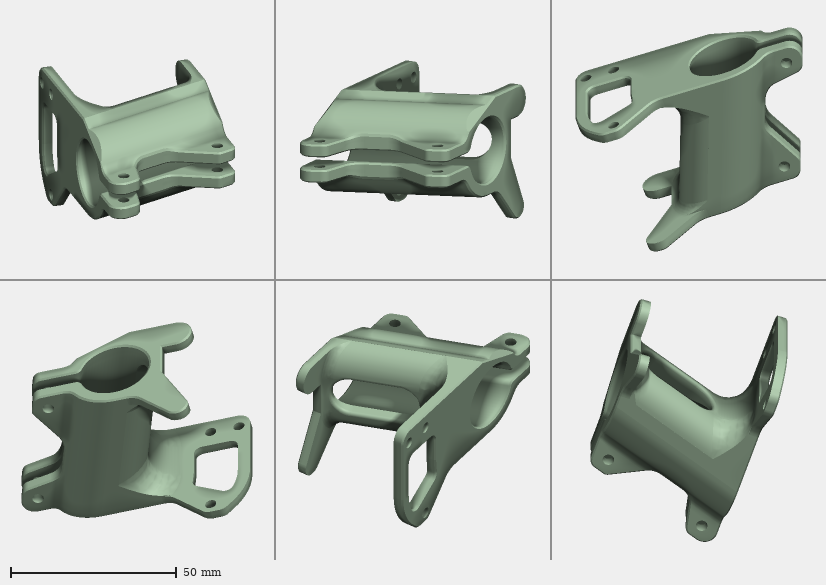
import cadquery as cq
import math


length = 71.3
depth = 44.5
top_z = 16.1
bottom_z = -25.7

tilt = math.radians(20)
bore_radius = 10.2
tube_radius = 14.25
tube_left = -12.6
tube_corner = 9.0
roof_start = -4.2
roof_angle = math.radians(25)
roof_end = 7.1
roof_chamfer_end = 12.75
roof_chamfer_height = 3.6
back_shift = depth * math.tan(tilt)
front_blend = 8.0
back_blend = 3.0

window_along = 33.1
window_spacing = 15.05
window_half_height = 6.3
window_blend = 1.1

slit_half = 2.0
lug_top = 6.0
lug_end = 23.9
lug_blend = 4.0
slit_blend = 2.0
waist = 12.9
waist_blend = 6.0
lug_tip_radius = 3.0
lug_front_radius = 4.0
lug_knee_radius = 2.0
screw_across = 19.0
front_screw_along = -1.2
back_screw_along = 34.9
front_lug_y = 9.5
front_waist_y = 11.9
back_waist_y = 24.6
back_lug_y = 38.4

plate = 3.2
chamfer = 0.5
hole_diameter = 3.5
lug_corner_x = (lug_end - lug_front_radius * (1 + math.sin(tilt))) / math.cos(tilt)
right_x = lug_corner_x + lug_front_radius
left_x = right_x - length
plate_corner = 4.0
left_bend = 19.95
left_bend_z = -17.3
left_bend_turn = math.radians(45)
foot_left_x = left_x + left_bend_z - bottom_z
foot_radius = 3.5
notch_x = -22.3
foot_right_x = notch_x + bottom_z + tube_radius
notch_blend = 6.0
hole_x = -35.2
corner_hole_x = -44.05
upper_hole_z = 11.1
lower_hole_z = bottom_z + foot_radius
finger_radius = top_z - upper_hole_z
back_edge_x = -30.95
leg_top_z = -5.35
leg_angle = math.radians(27)
front_plate_end = -7.1
back_plate_end = -21.4
back_plate_low_end = -17.1

pocket_left = -43.7
pocket_right = -30.0
pocket_top = 5.1
pocket_corner = 2.5
pocket_knee_z = -11.7
pocket_knee_shift = 0.6
pocket_lean = math.radians(25)
pocket_slant = math.radians(30)

reach = 142.6
lug_overrun = 2 * lug_end
smallest_edge = 0.001


def tilted_point(across, along):
    """X and Y of a point given square to and along the tube axis."""
    return (
        across * math.cos(tilt) - along * math.sin(tilt),
        across * math.sin(tilt) + along * math.cos(tilt),
    )


def rounded_outline(plane, corners):
    """Closed outline through (x, y, radius) corners, each rounded by a tangent arc."""
    stops = []
    for i, (x, y, radius) in enumerate(corners):
        corner = cq.Vector(x, y)
        before = (cq.Vector(*corners[i - 1][:2]) - corner).normalized()
        after = (cq.Vector(*corners[(i + 1) % len(corners)][:2]) - corner).normalized()
        half_angle = before.getAngle(after) / 2
        setback = radius / math.tan(half_angle)
        to_middle = radius / math.sin(half_angle) - radius
        middle = corner + (before + after).normalized() * to_middle
        stops.append((corner + before * setback, middle, corner + after * setback, radius))
    last = stops[0][2]
    outline = plane.moveTo(last.x, last.y)
    for start, middle, end, radius in stops[1:] + stops[:1]:
        if (start - last).Length > smallest_edge:
            outline = outline.lineTo(start.x, start.y)
        last = end
        if radius > 0:
            outline = outline.threePointArc((middle.x, middle.y), (end.x, end.y))
    return outline.close()


def box(x_range, y_range, z_range):
    size = [b - a for a, b in (x_range, y_range, z_range)]
    corner = (x_range[0], y_range[0], z_range[0])
    return cq.Workplane("XY").box(*size, centered=False).translate(corner)


def section_plane():
    """Plane square to the tube axis: local x is across, local y is Z."""
    across = (math.cos(tilt), math.sin(tilt), 0)
    toward_front = (math.sin(tilt), -math.cos(tilt), 0)
    return cq.Workplane(cq.Plane((0, 0, 0), xDir=across, normal=toward_front))


def side_of_roof_start(side):
    """Everything left (side = -1) or right (side = 1) of the place where the roof starts to fall."""
    block = section_plane().rect(reach, reach).extrude(reach, both=True)
    return block.translate((*tilted_point(roof_start + side * reach / 2, 0), 0))


def blend_middle(centre, radius):
    """Middle of a blend arc that runs from a tangent circle around the origin to a level line below."""
    toward_origin = math.atan2(centre[1], centre[0]) - math.pi
    downward = -math.pi / 2
    angle = (toward_origin + downward) / 2
    return centre[0] + radius * math.cos(angle), centre[1] + radius * math.sin(angle)


between_ends = box((-reach, reach), (0, depth), (-reach, reach))


def blended_wall():
    """Rounded left side of the tube, blended into both plates and cut flush above and below."""
    tube = (
        rounded_outline(
            section_plane(),
            [
                (tube_left, top_z, tube_corner),
                (reach / 2, top_z, tube_corner),
                (reach / 2, -tube_radius, tube_corner),
                (tube_left, -tube_radius, tube_corner),
            ],
        )
        .extrude(reach, both=True)
        .intersect(between_ends)
    )
    front_slab = box((-reach, reach), (0, plate), (-reach, reach))
    back_slab = front_slab.translate((0, depth - plate, 0))
    wall = tube.union(front_slab).union(back_slab)
    for y, radius in ((plate, front_blend), (depth - plate, back_blend)):
        at_plate = cq.selectors.BoxSelector(
            (-reach / 2, y - smallest_edge, -tube_radius - chamfer),
            (reach, y + smallest_edge, top_z + chamfer),
        )
        wall = wall.edges(at_plate).fillet(radius)
    limits = box((back_edge_x, reach), (0, depth), (-tube_radius, top_z))
    return wall.intersect(limits).intersect(side_of_roof_start(-1))


def clamp_tube():
    """Round clamp side with the sloped roof that joins it to the flat top."""
    roof_low = top_z - (roof_end - roof_start) * math.tan(roof_angle)
    roof = [
        (roof_start, top_z),
        (roof_end, roof_low),
        (roof_end, 0),
        (0, -tube_radius),
        (roof_start, -tube_radius),
    ]
    barrel = section_plane().circle(tube_radius).extrude(reach, both=True)
    bridge = section_plane().polyline(roof).close().extrude(reach, both=True)
    return barrel.intersect(side_of_roof_start(1)).union(bridge).intersect(between_ends)


def lugs():
    """Both lugs as one block, blended into the outside of the tube. The slit is cut later."""
    blend_z = lug_top + lug_blend
    blend_across = math.sqrt((tube_radius + lug_blend) ** 2 - blend_z**2)
    on_tube = tube_radius / (tube_radius + lug_blend)
    start = (blend_across * on_tube, blend_z * on_tube)
    middle = blend_middle((blend_across, blend_z), lug_blend)
    return (
        section_plane()
        .moveTo(*start)
        .threePointArc(middle, (blend_across, lug_top))
        .lineTo(lug_overrun, lug_top)
        .lineTo(lug_overrun, -lug_top)
        .lineTo(blend_across, -lug_top)
        .threePointArc((middle[0], -middle[1]), (start[0], -start[1]))
        .close()
        .extrude(reach, both=True)
        .intersect(between_ends)
    )


def bore_outline(plane, growth):
    """Bore and slit with rounded lips between them, all offset outward by growth."""
    radius = bore_radius + growth
    half = slit_half + growth
    blend = slit_blend - growth
    lip_z = slit_half + slit_blend
    lip_across = math.sqrt((bore_radius + slit_blend) ** 2 - lip_z**2)
    on_bore = radius / (bore_radius + slit_blend)
    tangent = (lip_across * on_bore, lip_z * on_bore)
    middle = blend_middle((lip_across, lip_z), blend)
    return (
        plane.moveTo(*tangent)
        .threePointArc((-radius, 0), (tangent[0], -tangent[1]))
        .threePointArc((middle[0], -middle[1]), (lip_across, -half))
        .lineTo(lug_overrun, -half)
        .lineTo(lug_overrun, half)
        .lineTo(lip_across, half)
        .threePointArc(middle, tangent)
        .close()
    )


def bore_and_slit():
    return bore_outline(section_plane(), 0).extrude(reach, both=True)


def bore_mouths():
    """Chamfer of the bore and slit at both ends: a straight flare, sheared to follow the tube."""

    def flare(y, direction):
        wide = bore_outline(cq.Workplane("XZ", origin=(0, y, 0)), chamfer)
        narrow_plane = wide.workplane(offset=-direction * chamfer)
        return bore_outline(narrow_plane, 0).loft(ruled=True)

    sheared = cq.Matrix(
        [
            [1 / math.cos(tilt), -math.tan(tilt), 0, 0],
            [0, 1, 0, 0],
            [0, 0, 1, 0],
        ]
    )
    flares = [flare(0, 1), flare(depth, -1)]
    return [cq.Workplane(shape.val().transformGeometry(sheared)) for shape in flares]


def front_plate():
    """Front plate, before its pocket and holes are cut."""
    return rounded_outline(
        cq.Workplane("XZ"),
        [
            (left_x, top_z, plate_corner),
            (front_plate_end, top_z, 0),
            (front_plate_end, -tube_radius, 0),
            (notch_x, -tube_radius, notch_blend),
            (foot_right_x, bottom_z, foot_radius),
            (foot_left_x, bottom_z, foot_radius),
            (left_x, left_bend_z, left_bend),
        ],
    ).extrude(-plate)


def back_plate():
    """Back plate with a round finger at the top and a tapered leg below."""
    finger_low = top_z - 2 * finger_radius
    foot_x = back_edge_x - (leg_top_z - bottom_z) * math.tan(leg_angle)
    return rounded_outline(
        cq.Workplane("XZ", origin=(0, depth, 0)),
        [
            (hole_x - finger_radius, top_z, finger_radius),
            (back_plate_end, top_z, 0),
            (back_plate_low_end, -tube_radius, 0),
            (notch_x, -tube_radius, notch_blend),
            (foot_right_x, bottom_z, foot_radius),
            (foot_x, bottom_z, foot_radius),
            (back_edge_x, leg_top_z, 0),
            (back_edge_x, finger_low, 0),
            (hole_x - finger_radius, finger_low, finger_radius),
        ],
    ).extrude(plate)


def lug_limits(start_z):
    """Plan outline that trims the lugs and the waist between them."""

    def at_y(across, y):
        return ((across - y * math.sin(tilt)) / math.cos(tilt), y)

    return rounded_outline(
        cq.Workplane("XY", origin=(0, 0, start_z)),
        [
            (-reach, 0, 0),
            (*at_y(lug_end, 0), lug_front_radius),
            (*at_y(lug_end, front_lug_y), lug_tip_radius),
            (*at_y(waist, front_waist_y), waist_blend),
            (*at_y(waist, back_waist_y), waist_blend),
            (*at_y(lug_end, back_lug_y), lug_knee_radius),
            (*at_y(lug_end, depth), lug_tip_radius),
            (-reach, depth, 0),
        ],
    ).extrude(reach)


def roof_chamfers():
    """Wedges that chamfer the roof line at both ends, straight through the tube that bulges past it."""
    start_x = roof_start / math.cos(tilt)
    fall = math.atan(math.tan(roof_angle) * math.cos(tilt))
    roof_length = (roof_chamfer_end - start_x) / math.cos(fall)
    plane = cq.Plane(
        (start_x, 0, top_z),
        xDir=(math.sin(fall), 0, math.cos(fall)),
        normal=(math.cos(fall), 0, -math.sin(fall)),
    )
    wedge = [
        (-chamfer, 0),
        (roof_chamfer_height, 0),
        (roof_chamfer_height, -roof_chamfer_height - chamfer),
    ]
    front = cq.Workplane(plane).polyline(wedge).close().extrude(roof_length)
    back = front.mirror("XZ").translate((-back_shift, depth, 0))
    return front.union(back)


def pocket():
    """Five-sided opening that follows the left edge of the front plate."""
    slant = math.tan(pocket_slant)
    knee_x = pocket_right + pocket_knee_shift
    rim = pocket_left - left_x
    bend_radius = left_bend - rim
    bend_start_z = left_bend_z + left_bend * math.tan(left_bend_turn / 2)
    bend_z = bend_start_z - bend_radius * math.tan(pocket_lean / 2)
    lean = math.tan(pocket_lean)
    drop = bend_z - pocket_knee_z + slant * (knee_x - pocket_left)
    tip_x = pocket_left + lean * drop / (1 + slant * lean)
    tip_z = pocket_knee_z - slant * (knee_x - tip_x)
    return rounded_outline(
        cq.Workplane("XZ"),
        [
            (pocket_left, pocket_top, pocket_corner),
            (pocket_right, pocket_top, pocket_corner),
            (pocket_right, leg_top_z, 0),
            (knee_x, pocket_knee_z, pocket_corner),
            (tip_x, tip_z, pocket_corner),
            (pocket_left, bend_z, bend_radius),
        ],
    ).extrude(-plate)


def window():
    """Long rounded slot through the left wall, square to the tube axis."""
    plane = cq.Plane(
        (*tilted_point(-bore_radius / 2, window_along), (top_z - tube_radius) / 2),
        xDir=(-math.sin(tilt), math.cos(tilt), 0),
        normal=(-math.cos(tilt), -math.sin(tilt), 0),
    )
    width = 2 * window_half_height
    return cq.Workplane(plane).slot2D(window_spacing + width, width).extrude(2 * bore_radius)


def cut_window(body):
    """Cut the window and round the edge it leaves on the outside of the tube."""
    tool = window()
    body = body.cut(tool)
    skin = tool.val().Shells()[0]
    rim = []
    for edge in body.edges().vals():
        middle = edge.positionAt(0.5)
        across = middle.x * math.cos(tilt) + middle.y * math.sin(tilt)
        on_tool = cq.Vertex.makeVertex(*middle.toTuple()).distance(skin) < smallest_edge
        if on_tool and across < -bore_radius:
            rim.append(edge)
    return body.newObject(rim).fillet(window_blend)


def lip_trims():
    """Tools that chamfer the lug outline where it meets the slit."""
    lug_body = lug_limits(slit_half).faces("<Z").edges().chamfer(chamfer)
    band = box((roof_start, reach), (0, depth), (slit_half, slit_half + chamfer))
    upper = band.cut(lug_body)
    return upper.union(upper.mirror("XY"))


def chamfer_ends(body):
    """Chamfer the outer edges of both end faces, and the lug outlines that run on from them."""
    rims = []
    for face, shift in (("<Y", 0), (">Y", back_shift)):
        roof_x = roof_start - shift
        for edge in body.faces(face).edges("not (|Z and >X)").vals():
            middle = edge.Center()
            if middle.x < roof_x or middle.z < lug_top - smallest_edge:
                rims.append(edge)
    body = body.newObject(rims).chamfer(chamfer).cut(roof_chamfers())
    front_lug = cq.selectors.BoxSelector(
        (waist, -smallest_edge, lug_top - smallest_edge),
        (lug_end, smallest_edge, lug_top + smallest_edge),
    )
    return body.faces("<Y").edges(front_lug).chamfer(chamfer)


def cut_pocket(body):
    body = body.cut(pocket())
    around = cq.selectors.BoxSelector(
        (pocket_left - chamfer, -chamfer, bottom_z + foot_radius),
        (pocket_right + 2 * chamfer, chamfer, pocket_top + chamfer),
        boundingbox=True,
    )
    return body.edges(around).chamfer(chamfer)


def plate_holes():
    places = [(corner_hole_x, upper_hole_z), (hole_x, upper_hole_z), (hole_x, lower_hole_z)]
    return cq.Workplane("XZ").pushPoints(places).circle(hole_diameter / 2).extrude(-plate)


def screw_holes():
    places = [tilted_point(screw_across, along) for along in (front_screw_along, back_screw_along)]
    return cq.Workplane("XY").pushPoints(places).circle(hole_diameter / 2).extrude(lug_top, both=True)


body = clamp_tube().union(blended_wall()).union(front_plate()).union(back_plate()).union(lugs())
body = body.intersect(lug_limits(-reach / 2))
body = chamfer_ends(body)
body = body.cut(bore_and_slit())
for mouth in bore_mouths():
    body = body.cut(mouth)
body = body.cut(lip_trims())
body = cut_pocket(body)
body = cut_window(body)
result = body.cut(plate_holes()).cut(screw_holes())